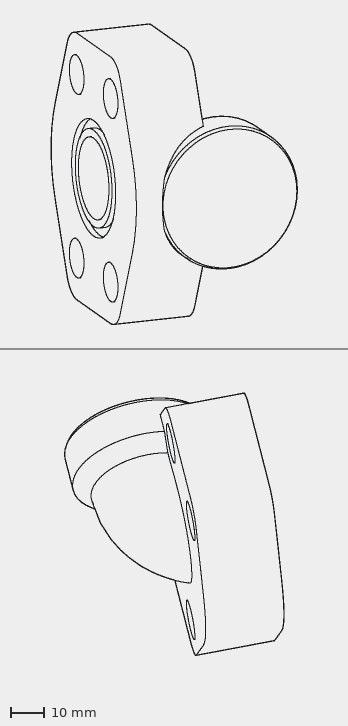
import cadquery as cq
import math

flange_depth = 24.0
flange_height = 83.0
side_radius = 34.9
corner_radius = 8.8
side_angle = 24.6

bolt_spacing_x = 27.7
bolt_spacing_z = 57.1
bolt_diameter = 11.95

bore_diameter = 25.0
groove_outer_diameter = 35.9
groove_inner_diameter = 30.0
groove_depth = 2.0

elbow_radius = 17.5
bend_radius = 17.6
outlet_axis_y = 30.0
collar_radius = 22.2
neck_length = 0.4
outlet_end_x = 35.0
collar_chamfer_length = 1.2
collar_chamfer_height = 0.7


def make_flange():
    lean = math.radians(side_angle)
    tangent_x = side_radius * math.cos(lean)
    tangent_z = side_radius * math.sin(lean)
    half_height = flange_height / 2
    top_x = tangent_x - (half_height - tangent_z) * math.tan(lean)
    plate = (
        cq.Workplane("XZ")
        .moveTo(top_x, half_height)
        .lineTo(tangent_x, tangent_z)
        .threePointArc((side_radius, 0), (tangent_x, -tangent_z))
        .lineTo(top_x, -half_height)
        .lineTo(-top_x, -half_height)
        .lineTo(-tangent_x, -tangent_z)
        .threePointArc((-side_radius, 0), (-tangent_x, tangent_z))
        .lineTo(-top_x, half_height)
        .close()
        .extrude(-flange_depth)
    )
    corners = plate.edges("|Y and (>Z or <Z)")
    return corners.fillet(corner_radius)


def make_elbow():
    return (
        cq.Workplane("YZ", origin=(bend_radius, 0, 0))
        .center(outlet_axis_y, 0)
        .circle(elbow_radius)
        .revolve(90, (-bend_radius, -0.8), (-bend_radius, 0.8))
    )


def make_outlet():
    neck_end_x = bend_radius + neck_length
    collar_start_x = neck_end_x + collar_radius - elbow_radius
    profile = [
        (bend_radius, 0),
        (bend_radius, elbow_radius),
        (neck_end_x, elbow_radius),
        (collar_start_x, collar_radius),
        (outlet_end_x - collar_chamfer_length, collar_radius),
        (outlet_end_x, collar_radius - collar_chamfer_height),
        (outlet_end_x, 0),
    ]
    return (
        cq.Workplane("XY", origin=(0, outlet_axis_y, 0))
        .polyline(profile)
        .close()
        .revolve(360, (0, 0), (1, 0))
    )


def cut_tool(diameter, depth):
    return cq.Workplane("XZ").circle(diameter / 2).extrude(-depth)


bolt_holes = (
    cq.Workplane("XZ")
    .rect(bolt_spacing_x, bolt_spacing_z, forConstruction=True)
    .vertices()
    .circle(bolt_diameter / 2)
    .extrude(-flange_depth)
)
groove = cut_tool(groove_outer_diameter, groove_depth).cut(
    cut_tool(groove_inner_diameter, groove_depth)
)

body = make_flange().union(make_elbow()).union(make_outlet())
result = body.cut(bolt_holes).cut(groove).cut(cut_tool(bore_diameter, flange_depth))